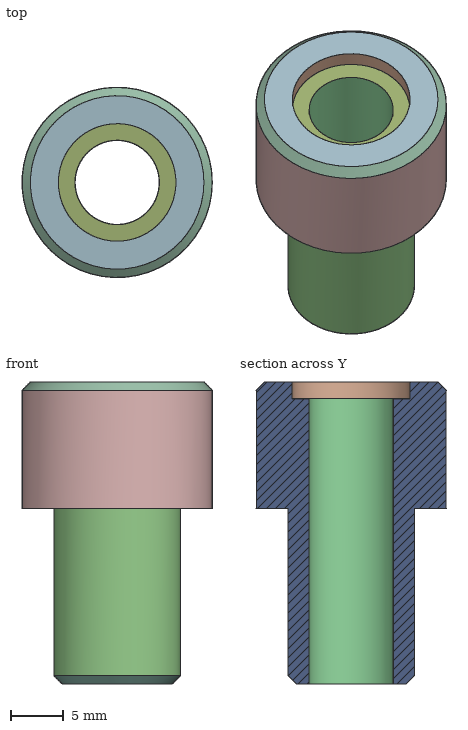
import cadquery as cq

total_height = 28.6
head_diameter = 18.0
head_height = 12.0
shank_diameter = 12.0
bore_diameter = 7.95
counterbore_diameter = 11.12
counterbore_depth = 1.6
edge_chamfer = 0.8

shank_height = total_height - head_height

shank = cq.Workplane("XY").circle(shank_diameter / 2).extrude(shank_height)
shank = shank.faces("<Z").edges().chamfer(edge_chamfer)

head = cq.Workplane("XY").workplane(offset=shank_height).circle(head_diameter / 2).extrude(head_height)
head = head.faces(">Z").edges().chamfer(edge_chamfer)

body = shank.union(head)
result = body.faces(">Z").workplane(origin=(0, 0, total_height)).cboreHole(
    bore_diameter, counterbore_diameter, counterbore_depth
)